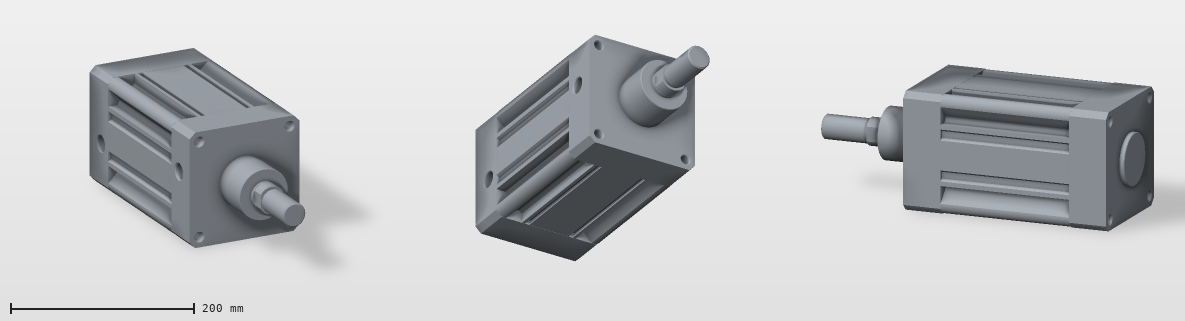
import cadquery as cq
import math


rear_boss_length = 6.0
cap_length = 43.8
tube_length = 152.0
front_boss_length = 46.5
overall_length = 365.0
rear_cap_start = rear_boss_length
tube_start = rear_cap_start + cap_length
front_cap_start = tube_start + tube_length
front_cap_end = front_cap_start + cap_length
rod_start = front_cap_end + front_boss_length

cap_side = 134.0
cap_corner_chamfer = 7.0
boss_diameter = 60.0
boss_chamfer = 0.7
bolt_offset = 55.0
bolt_hole_diameter = 10.2
bolt_hole_depth = 22.0
bolt_hole_chamfer = 1.0
port_diameter = 18.2
port_depth = 29.2
port_chamfer = 1.0
port_height = 14.2
rear_port_inset = 26.5
front_port_inset = 18.0

tube_half_side = 66.8
bar_radius = 10.2
bar_centre = tube_half_side - bar_radius
bar_edge = 54.5
bar_edge_height = bar_centre + math.sqrt(bar_radius**2 - (bar_centre - bar_edge) ** 2)
lip_edge = 34.3
pocket_wall_foot = 55.5
pocket_root = 39.8
pocket_root_height = pocket_root + bar_edge_height - bar_edge
pocket_root_radius = 3.3

groove_centre = 23.0
groove_mouth = 12.5
groove_floor = 7.5
groove_depth = 4.0

slot_centre = 27.7
slot_neck = 5.5
slot_neck_depth = 1.0
slot_inner_width = 9.5
slot_depth = 6.0

collar_diameter = 32.0
collar_length = 4.0
flats_diameter = 31.8
flats_length = 15.5
flats_width = 27.0
relief_diameter = 25.5
relief_length = 2.0
relief_taper = 2.0
thread_diameter = 27.7
thread_chamfer = 1.5


def x_cylinder(diameter, start, length):
    return cq.Workplane("YZ", origin=(start, 0, 0)).circle(diameter / 2).extrude(length)


def cap_block(start):
    """Square cap with chamfered long edges."""
    block = cq.Workplane("YZ", origin=(start, 0, 0)).rect(cap_side, cap_side).extrude(cap_length)
    return block.edges("|X").chamfer(cap_corner_chamfer)


def blind_hole(point, direction, diameter, depth, chamfer):
    """Cutter for a blind hole with a chamfered mouth, entering at point along direction."""
    origin = cq.Vector(*point)
    axis = cq.Vector(*direction)
    bore = cq.Solid.makeCylinder(diameter / 2, depth, origin, axis)
    mouth = cq.Solid.makeCone(diameter / 2 + chamfer, diameter / 2, chamfer, origin, axis)
    return bore.fuse(mouth)


def cut_bolt_holes(cap, face_x, inward):
    """Drill the four corner holes from the outer face; inward is the X direction into the cap."""
    for y in (-bolt_offset, bolt_offset):
        for z in (-bolt_offset, bolt_offset):
            mouth = (face_x, y, z)
            hole = blind_hole(mouth, (inward, 0, 0), bolt_hole_diameter, bolt_hole_depth, bolt_hole_chamfer)
            cap = cap.cut(hole)
    return cap


def cut_port(cap, x, z):
    mouth = (x, -cap_side / 2, z)
    return cap.cut(blind_hole(mouth, (0, 1, 0), port_diameter, port_depth, port_chamfer))


def make_rear_cap():
    boss = x_cylinder(boss_diameter, 0, rear_boss_length).faces("<X").chamfer(boss_chamfer)
    cap = cap_block(rear_cap_start).union(boss)
    cap = cut_bolt_holes(cap, rear_cap_start, 1)
    return cut_port(cap, rear_cap_start + rear_port_inset, -port_height)


def make_front_cap():
    boss = x_cylinder(boss_diameter, front_cap_end, front_boss_length).faces(">X").chamfer(boss_chamfer)
    cap = cap_block(front_cap_start).union(boss)
    cap = cut_bolt_holes(cap, front_cap_end, -1)
    return cut_port(cap, front_cap_start + front_port_inset, port_height)


def tube_prism(points):
    return cq.Workplane("YZ", origin=(tube_start, 0, 0)).polyline(points).close().extrude(tube_length)


def quarter_turned(point, quarters):
    """Point of the tube profile turned clockwise by a number of quarter turns."""
    y, z = point
    for _ in range(quarters):
        y, z = z, -y
    return y, z


def is_pocket_root(edge):
    """Whether a long edge of the tube lies at the bottom of a corner pocket."""
    centre = edge.Center()
    nearest_offset = min(abs(centre.y), abs(centre.z))
    return math.isclose(nearest_offset, pocket_root)


def tube_body():
    """Tube with a pocket on either side of each 45 degree corner bar, without grooves or slots."""
    bar_tip = bar_centre + bar_radius / math.sqrt(2)
    side_points = [
        (-pocket_root, pocket_root_height),
        (-lip_edge, pocket_wall_foot),
        (-lip_edge, tube_half_side),
        (lip_edge, tube_half_side),
        (lip_edge, pocket_wall_foot),
        (pocket_root, pocket_root_height),
        (bar_edge, bar_edge_height),
    ]
    outline = cq.Workplane("YZ", origin=(tube_start, 0, 0)).moveTo(-bar_edge, bar_edge_height)
    for quarter in range(4):
        for point in side_points:
            outline = outline.lineTo(*quarter_turned(point, quarter))
        arc_middle = quarter_turned((bar_tip, bar_tip), quarter)
        arc_end = quarter_turned((bar_edge_height, bar_edge), quarter)
        outline = outline.threePointArc(arc_middle, arc_end)
    body = outline.close().extrude(tube_length)
    return body.edges("|X").filter(is_pocket_root).fillet(pocket_root_radius)


def tapered_groove(z):
    """Cutter for a groove with sloping sides in the -Y face."""
    face = -tube_half_side
    floor = groove_floor / 2
    return tube_prism([
        (face, z - groove_mouth / 2),
        (face + groove_depth, z - floor),
        (face + groove_depth, z + floor),
        (face, z + groove_mouth / 2),
    ])


def t_slot(y):
    """Cutter for an undercut slot in the +Z face."""
    neck_bottom = tube_half_side - slot_neck_depth
    floor = tube_half_side - slot_depth
    neck = slot_neck / 2
    inner = slot_inner_width / 2
    return tube_prism([
        (y - neck, tube_half_side),
        (y - neck, neck_bottom),
        (y - inner, neck_bottom),
        (y - inner, floor),
        (y + inner, floor),
        (y + inner, neck_bottom),
        (y + neck, neck_bottom),
        (y + neck, tube_half_side),
    ])


def make_tube():
    tube = tube_body()
    for turn in (0, 180):
        for side_sign in (-1, 1):
            for cutter in (tapered_groove(side_sign * groove_centre), t_slot(side_sign * slot_centre)):
                tube = tube.cut(cutter.rotate((0, 0, 0), (1, 0, 0), turn))
    return tube


def make_rod():
    flats_start = rod_start + collar_length
    relief_start = flats_start + flats_length
    taper_start = relief_start + relief_length
    thread_start = taper_start + relief_taper
    chamfer_start = overall_length - thread_chamfer
    thread_radius = thread_diameter / 2
    profile = [
        (rod_start, 0),
        (rod_start, collar_diameter / 2),
        (flats_start, collar_diameter / 2),
        (flats_start, flats_diameter / 2),
        (relief_start, flats_diameter / 2),
        (relief_start, relief_diameter / 2),
        (taper_start, relief_diameter / 2),
        (thread_start, thread_radius),
        (chamfer_start, thread_radius),
        (overall_length, thread_radius - thread_chamfer),
        (overall_length, 0),
    ]
    rod = cq.Workplane("XY").polyline(profile).close().revolve(360, (0, 0, 0), (1, 0, 0))
    waste = cq.Workplane("XY").box(flats_length, collar_diameter, collar_diameter)
    for side_sign in (-1, 1):
        offset = side_sign * (flats_width + collar_diameter) / 2
        rod = rod.cut(waste.translate((flats_start + flats_length / 2, offset, 0)))
    return rod


rear_cap = make_rear_cap()
tube = make_tube()
front_cap = make_front_cap()
rod = make_rod()

result = cq.Compound.makeCompound([rear_cap.val(), tube.val(), front_cap.val(), rod.val()])